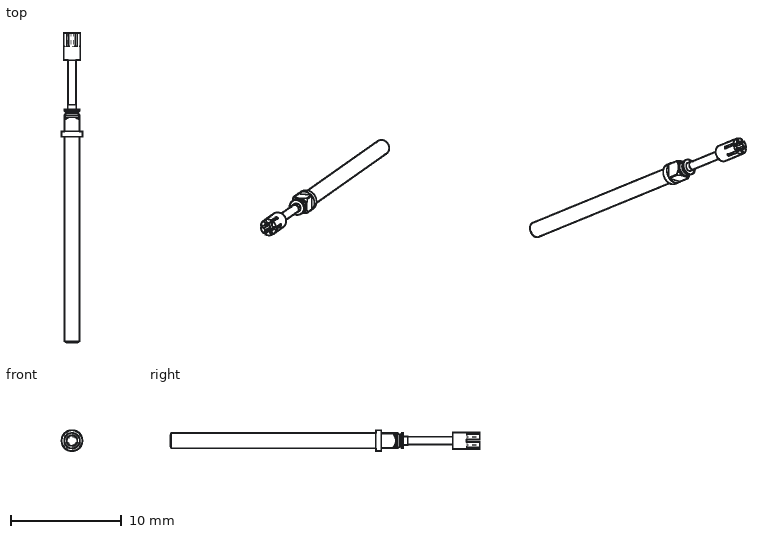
import cadquery as cq

LENGTH = 27.9

BARREL_RADIUS = 0.7
TAIL_FACE_RADIUS = 0.47
TAIL_CHAMFER_LENGTH = 0.1

COLLAR_RADIUS = 0.95
COLLAR_START = 18.53
COLLAR_LENGTH = 0.5
SQUARE_WIDTH = 1.4
SQUARE_LENGTH = 1.28
SQUARE_TIP_RADIUS = 0.73

RIDGE_RADIUS = 0.7
RIDGE_FOOT_RADIUS = 0.6
RIDGE_BACK_LENGTH = 0.17
FLAT_GROOVE_RADIUS = 0.55
FLAT_GROOVE_FLOOR = 0.15
RIDGE_FRONT_LENGTH = 0.17
FLANGE_BACK_LENGTH = 0.08
FLANGE_RIM_LENGTH = 0.15

SHAFT_RADIUS = 0.35
ROOT_RADIUS = 0.4
ROOT_LENGTH = 0.42
HEAD_RADIUS = 0.75
HEAD_LENGTH = 2.45
SLOT_COUNT = 6
SLOT_WIDTH = 0.2
SLOT_DEPTH = 1.2
BORE_RADIUS = 0.42

collar_end = COLLAR_START + COLLAR_LENGTH
square_end = collar_end + SQUARE_LENGTH
ridge_peak = square_end + RIDGE_BACK_LENGTH
floor_start = ridge_peak + RIDGE_FRONT_LENGTH
floor_end = floor_start + FLAT_GROOVE_FLOOR
flange_start = floor_end + FLANGE_BACK_LENGTH
flange_end = flange_start + FLANGE_RIM_LENGTH
root_end = flange_end + ROOT_LENGTH
head_start = LENGTH - HEAD_LENGTH
slot_floor = LENGTH - SLOT_DEPTH


def revolve_profile(points):
    """Revolve a closed outline of (radius, station) points about the Y axis."""
    return cq.Workplane("XY").polyline(points).close().revolve(360, (0, 0, 0), (0, 1, 0))


def barrel_and_collar():
    return revolve_profile([
        (0, 0),
        (TAIL_FACE_RADIUS, 0),
        (BARREL_RADIUS, TAIL_CHAMFER_LENGTH),
        (BARREL_RADIUS, COLLAR_START),
        (COLLAR_RADIUS, COLLAR_START),
        (COLLAR_RADIUS, collar_end),
        (0, collar_end),
    ])


def square_section():
    """Square bar whose corners are turned to the collar radius and bevelled at 45 degrees."""
    bevel = COLLAR_RADIUS - SQUARE_TIP_RADIUS
    envelope = revolve_profile([
        (0, collar_end),
        (COLLAR_RADIUS, collar_end),
        (COLLAR_RADIUS, square_end - bevel),
        (SQUARE_TIP_RADIUS, square_end),
        (0, square_end),
    ])
    bar = cq.Workplane("XY").box(SQUARE_WIDTH, SQUARE_LENGTH, SQUARE_WIDTH, centered=(True, False, True))
    return bar.translate((0, collar_end, 0)).intersect(envelope)


def neck_shaft_and_head():
    return revolve_profile([
        (0, square_end),
        (RIDGE_FOOT_RADIUS, square_end),
        (RIDGE_RADIUS, ridge_peak),
        (FLAT_GROOVE_RADIUS, floor_start),
        (FLAT_GROOVE_RADIUS, floor_end),
        (RIDGE_RADIUS, flange_start),
        (RIDGE_RADIUS, flange_end),
        (ROOT_RADIUS, flange_end),
        (ROOT_RADIUS, root_end),
        (SHAFT_RADIUS, root_end),
        (SHAFT_RADIUS, head_start),
        (HEAD_RADIUS, head_start),
        (HEAD_RADIUS, LENGTH),
        (0, LENGTH),
    ])


def head_cuts():
    """Blind bore in the head end, with radial slots of the same depth around it."""
    cuts = revolve_profile([
        (0, slot_floor),
        (BORE_RADIUS, slot_floor),
        (BORE_RADIUS, LENGTH),
        (0, LENGTH),
    ])
    slot = (
        cq.Workplane("XY")
        .box(2 * HEAD_RADIUS, SLOT_DEPTH, SLOT_WIDTH, centered=(False, False, True))
        .translate((0, slot_floor, 0))
    )
    for index in range(SLOT_COUNT):
        cuts = cuts.union(slot.rotate((0, 0, 0), (0, 1, 0), index * 360 / SLOT_COUNT))
    return cuts


result = barrel_and_collar().union(square_section()).union(neck_shaft_and_head()).cut(head_cuts())